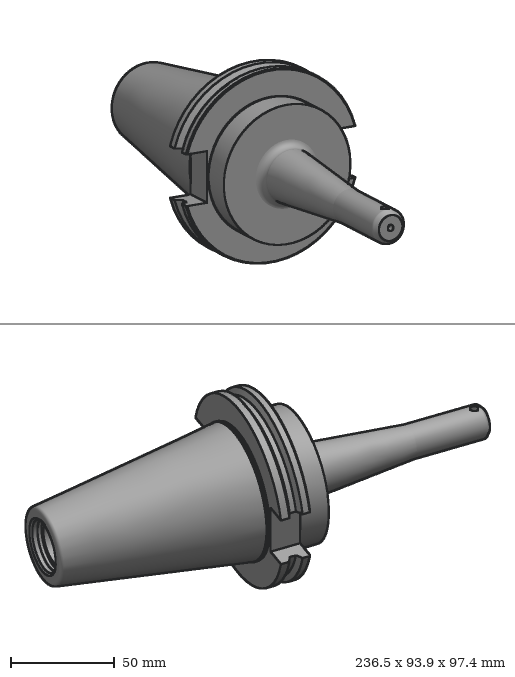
import cadquery as cq
import math

LENGTH = 236.5
TAPER_END = 102.5
BAND_START = 102.9
BAND_END = 104.0
FLANGE_START = 104.8
FLANGE_END = 120.5
RELIEF_END = 121.0
COLLAR_END = 136.2
FILLET_END = 141.0
NOSE_START = 196.3
TIP_START = 233.7

TAPER_RATIO = 7 / 24
TAPER_LARGE_RADIUS = 69.8 / 2
TAPER_SMALL_RADIUS = TAPER_LARGE_RADIUS - TAPER_END * TAPER_RATIO / 2
SHANK_ROUND = 2.0

FLANGE_RADIUS = 48.7
FLANGE_CHAMFER = 0.5
COLLAR_RADIUS = 70.2 / 2
GROOVE_CENTER = 112.8
GROOVE_FLOOR_WIDTH = 3.3
GROOVE_FLOOR_RADIUS = 45.5
GROOVE_WALL_ANGLE = 30.0
SLOT_WIDTH = 26.0
FRONT_SLOT_FLOOR = 35.5
BACK_SLOT_FLOOR = 37.5

FILLET_START_RADIUS = 17.3
NECK_RADIUS = 13.7
NOSE_RADIUS = 17.5 / 2
TIP_ROUND = 1.5

MOUTH_RADIUS = 28.9 / 2
MOUTH_CHAMFER_END_RADIUS = 26.7 / 2
COUNTERBORE_RADIUS = 26.3 / 2
COUNTERBORE_DEPTH = 6.0
MOUTH_STEP_DEPTH = 3.8
BORE_RADIUS = 22.0 / 2
BORE_DEPTH = 59.1
DRILL_POINT_ANGLE = 118.0
PILOT_RADIUS = 8.0 / 2
PILOT_END = 142.0
COOLANT_RADIUS = 3.0 / 2

CROSS_HOLE_DIAMETER = 4.0
CROSS_HOLE_X = 231.0


def revolve_about_x(profile):
    return profile.close().revolve(360, (0, 0, 0), (1, 0, 0))


def tip_round_point(angle):
    turn = math.radians(angle)
    return (
        TIP_START + TIP_ROUND * math.sin(turn),
        NOSE_RADIUS - TIP_ROUND * (1 - math.cos(turn)),
    )


def make_body():
    fillet_radius = FILLET_END - COLLAR_END
    fillet_bend = (
        FILLET_END - fillet_radius * math.sin(math.radians(45)),
        NECK_RADIUS + (FILLET_START_RADIUS - NECK_RADIUS) * (1 - math.cos(math.radians(45))),
    )
    round_end_x, round_end_radius = tip_round_point(45)
    tip_radius = round_end_radius - (LENGTH - round_end_x)
    shank = revolve_about_x(
        cq.Workplane("XY")
        .lineTo(0, TAPER_SMALL_RADIUS)
        .lineTo(TAPER_END, TAPER_LARGE_RADIUS)
        .lineTo(TAPER_END, 0)
    ).faces("<X").edges().fillet(SHANK_ROUND)
    front = revolve_about_x(
        cq.Workplane("XY")
        .moveTo(TAPER_END, 0)
        .lineTo(TAPER_END, TAPER_LARGE_RADIUS)
        .lineTo(BAND_START, TAPER_LARGE_RADIUS)
        .lineTo(BAND_START, COLLAR_RADIUS)
        .lineTo(BAND_END, COLLAR_RADIUS)
        .lineTo(BAND_END, TAPER_LARGE_RADIUS)
        .lineTo(FLANGE_START, TAPER_LARGE_RADIUS)
        .lineTo(FLANGE_START, FLANGE_RADIUS)
        .lineTo(FLANGE_END - FLANGE_CHAMFER, FLANGE_RADIUS)
        .lineTo(FLANGE_END, FLANGE_RADIUS - FLANGE_CHAMFER)
        .lineTo(FLANGE_END, TAPER_LARGE_RADIUS)
        .lineTo(RELIEF_END, TAPER_LARGE_RADIUS)
        .lineTo(RELIEF_END, COLLAR_RADIUS)
        .lineTo(COLLAR_END, COLLAR_RADIUS)
        .lineTo(COLLAR_END, FILLET_START_RADIUS)
        .threePointArc(fillet_bend, (FILLET_END, NECK_RADIUS))
        .lineTo(NOSE_START, NOSE_RADIUS)
        .lineTo(TIP_START, NOSE_RADIUS)
        .threePointArc(tip_round_point(22.5), tip_round_point(45))
        .lineTo(LENGTH, tip_radius)
        .lineTo(LENGTH, 0)
    )
    return shank.union(front)


def make_rim_groove():
    depth = FLANGE_RADIUS - GROOVE_FLOOR_RADIUS
    floor_half = GROOVE_FLOOR_WIDTH / 2
    top_half = floor_half + depth * math.tan(math.radians(GROOVE_WALL_ANGLE))
    return revolve_about_x(
        cq.Workplane("XY")
        .moveTo(GROOVE_CENTER - floor_half, GROOVE_FLOOR_RADIUS)
        .lineTo(GROOVE_CENTER - top_half, FLANGE_RADIUS)
        .lineTo(GROOVE_CENTER + top_half, FLANGE_RADIUS)
        .lineTo(GROOVE_CENTER + floor_half, GROOVE_FLOOR_RADIUS)
    )


def make_slot(side, floor_distance):
    slot_depth = FLANGE_RADIUS - floor_distance
    center_y = side * (floor_distance + slot_depth / 2)
    return cq.Workplane("XY").box(FLANGE_END - FLANGE_START, slot_depth, SLOT_WIDTH).translate(
        ((FLANGE_START + FLANGE_END) / 2, center_y, 0)
    )


def make_bore():
    point_slope = math.tan(math.radians(DRILL_POINT_ANGLE / 2))
    point_end = BORE_DEPTH + (BORE_RADIUS - PILOT_RADIUS) / point_slope
    pilot_tip = PILOT_END + (PILOT_RADIUS - COOLANT_RADIUS) / point_slope
    return revolve_about_x(
        cq.Workplane("XY")
        .lineTo(0, MOUTH_RADIUS)
        .lineTo(MOUTH_RADIUS - MOUTH_CHAMFER_END_RADIUS, MOUTH_CHAMFER_END_RADIUS)
        .lineTo(MOUTH_STEP_DEPTH, MOUTH_CHAMFER_END_RADIUS)
        .lineTo(MOUTH_STEP_DEPTH, COUNTERBORE_RADIUS)
        .lineTo(COUNTERBORE_DEPTH, COUNTERBORE_RADIUS)
        .lineTo(COUNTERBORE_DEPTH, BORE_RADIUS)
        .lineTo(BORE_DEPTH, BORE_RADIUS)
        .lineTo(point_end, PILOT_RADIUS)
        .lineTo(PILOT_END, PILOT_RADIUS)
        .lineTo(pilot_tip, COOLANT_RADIUS)
        .lineTo(LENGTH, COOLANT_RADIUS)
        .lineTo(LENGTH, 0)
    )


def make_cross_hole():
    return (
        cq.Workplane("XY")
        .center(CROSS_HOLE_X, 0)
        .circle(CROSS_HOLE_DIAMETER / 2)
        .extrude(NOSE_RADIUS)
    )


result = (
    make_body()
    .cut(make_rim_groove())
    .cut(make_slot(-1, FRONT_SLOT_FLOOR))
    .cut(make_slot(1, BACK_SLOT_FLOOR))
    .cut(make_bore())
    .cut(make_cross_hole())
)